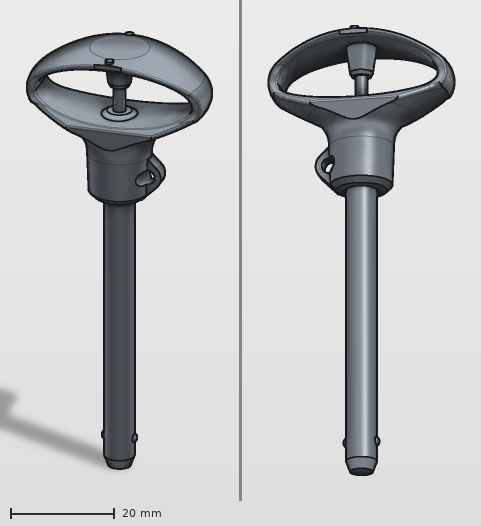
import cadquery as cq
import math


shank_radius = 3.0
shank_length = 57.0
tip_length = 2.1
tip_radius = 2.2

ball_radius = 1.0
ball_reach = 3.55
ball_above_end = 6.0
ball_height = ball_above_end - shank_length

collar_base_radius = 6.0
collar_top_radius = 6.3
collar_height = 9.0
collar_chamfer = 1.1

handle_top = 31.0
waist_lower_height = handle_top - 12.1
crown_radius = 5.8
dome_mid_radius = 12.1
dome_mid_height = handle_top - 2.6
dome_end_radius = 16.4
dome_end_height = handle_top - 5.6
rim_radius = 17.95
rim_height = handle_top - 9.1
rim_end_radius = 16.85
rim_end_height = waist_lower_height
flare_radius = 10.2
flare_height = handle_top - 15.95
flare_mid_radius = 7.15
flare_mid_height = handle_top - 18.6

window_height = handle_top - 9.5
window_half_width = 15.7
window_rise = 7.5
window_drop = 4.5
window_floor = window_height - window_drop

waist_half_width = 4.1
waist_height = handle_top - 9.2
waist_radius = 6.0
waist_lean = math.radians(31.5)
skirt_half_width = 7.35
skirt_height = handle_top - 14.65
skirt_foot_half_width = 7.0
skirt_foot_height = handle_top - 19.5
envelope_margin = 1.0

side_edge_clearance = 3.0
skirt_edge_radius = 0.6
dome_edge_radius = 0.4
window_edge_radius = 0.4
ellipse_tolerance = 0.01

notch_width = 5.4
notch_half_width = 7.7
notch_reach = 4.0

button_top_radius = 3.1
button_foot_radius = 2.25
button_foot_height = handle_top - 8.0
button_top_height = handle_top - 1.0
button_chamfer_width = 0.4
button_chamfer_height = 0.8
rod_radius = 1.2
seat_top_radius = 2.4
seat_base_radius = 3.65
seat_height = 0.75
seat_depth = 1.0

rivet_radius = 0.8
rivet_offset = 6.65
rivet_depth = 0.8

lug_x = 6.0
lug_height = 5.0
lug_radius = 2.75
lug_hole_radius = 1.5
lug_thickness = 3.0


def make_shank():
    outline = (
        cq.Workplane("XZ")
        .moveTo(0, collar_height)
        .lineTo(shank_radius, collar_height)
        .lineTo(shank_radius, tip_length - shank_length)
        .lineTo(tip_radius, -shank_length)
        .lineTo(0, -shank_length)
        .close()
    )
    shank = outline.revolve(360, (0, 0), (0, 1)).rotate((0, 0, 0), (0, 0, 1), 180)
    for side in (-1, 1):
        ball_x = side * (ball_reach - ball_radius)
        shank = shank.union(cq.Workplane("XY").sphere(ball_radius).translate((ball_x, 0, ball_height)))
    return shank


def make_turned_handle():
    return (
        cq.Workplane("XZ")
        .lineTo(collar_base_radius - collar_chamfer, 0)
        .lineTo(collar_base_radius, collar_chamfer)
        .lineTo(collar_top_radius, collar_height)
        .threePointArc((flare_mid_radius, flare_mid_height), (flare_radius, flare_height))
        .lineTo(rim_end_radius, rim_end_height)
        .threePointArc((rim_radius, rim_height), (dome_end_radius, dome_end_height))
        .threePointArc((dome_mid_radius, dome_mid_height), (crown_radius, handle_top))
        .lineTo(0, handle_top)
        .close()
        .revolve(360, (0, 0), (0, 1))
        .rotate((0, 0, 0), (0, 0, 1), 180)
    )


def waist_arc_half_width(height):
    """Half width in Y of the round waist at a given height."""
    rise = height - waist_height
    return waist_half_width + waist_radius - math.sqrt(waist_radius**2 - rise**2)


def make_side_envelope():
    """Waisted outline in YZ that bounds the handle sides, extruded along X."""
    upper_height = waist_height + waist_radius * math.sin(waist_lean)
    upper_half_width = waist_arc_half_width(upper_height)
    top_half_width = upper_half_width + (handle_top - upper_height) * math.tan(waist_lean)
    skirt = [
        (collar_top_radius + envelope_margin, 0),
        (skirt_foot_half_width, skirt_foot_height),
        (skirt_half_width, skirt_height),
        (waist_arc_half_width(waist_lower_height), waist_lower_height),
    ]
    return (
        cq.Workplane("YZ")
        .polyline(skirt)
        .threePointArc((waist_half_width, waist_height), (upper_half_width, upper_height))
        .lineTo(top_half_width, handle_top)
        .lineTo(-top_half_width, handle_top)
        .lineTo(-upper_half_width, upper_height)
        .threePointArc((-waist_half_width, waist_height), (-skirt[-1][0], waist_lower_height))
        .polyline([(-y, z) for y, z in reversed(skirt)], includeCurrent=False)
        .close()
        .extrude(rim_radius + envelope_margin, both=True)
    )


def half_elliptic_bar(height):
    """Bar along Y, bounded by the window's middle plane and a half ellipse above or below it."""
    first, last = (0, 180) if height > 0 else (180, 360)
    return (
        cq.Workplane("XZ", origin=(0, rim_radius, window_height))
        .ellipseArc(window_half_width, abs(height), first, last, startAtCurrent=False)
        .close()
        .extrude(2 * rim_radius)
    )


def make_window():
    return half_elliptic_bar(window_rise).union(half_elliptic_bar(-window_drop))


def make_button():
    return (
        cq.Workplane("XZ")
        .moveTo(0, window_floor - seat_depth)
        .lineTo(seat_base_radius, window_floor - seat_depth)
        .lineTo(seat_base_radius, window_floor)
        .lineTo(seat_top_radius, window_floor + seat_height)
        .lineTo(rod_radius, window_floor + seat_height)
        .lineTo(rod_radius, button_foot_height)
        .lineTo(button_foot_radius - button_chamfer_width, button_foot_height)
        .lineTo(button_foot_radius, button_foot_height + button_chamfer_height)
        .lineTo(button_top_radius, button_top_height)
        .lineTo(0, button_top_height)
        .close()
        .revolve(360, (0, 0), (0, 1))
    )


def make_rivets():
    return (
        cq.Workplane("XY", origin=(0, 0, handle_top - rivet_depth))
        .pushPoints([(0, rivet_offset), (0, -rivet_offset)])
        .circle(rivet_radius)
        .extrude(rivet_depth)
    )


def make_lug():
    """Lug with a round nose and 45 degree flanks that run back into the collar."""
    diagonal = lug_radius * math.sqrt(0.5)
    tangent_x = lug_x + diagonal
    root_x = lug_x + 2 * diagonal - lug_height
    return (
        cq.Workplane("XZ", origin=(0, lug_thickness / 2, 0))
        .lineTo(root_x, 0)
        .lineTo(tangent_x, lug_height - diagonal)
        .threePointArc((lug_x + lug_radius, lug_height), (tangent_x, lug_height + diagonal))
        .lineTo(root_x, 2 * lug_height)
        .lineTo(0, 2 * lug_height)
        .close()
        .extrude(lug_thickness)
    )


def make_lug_hole():
    """Hole through the lug and the edge of the collar, along Y."""
    hole = cq.Workplane("XZ").center(lug_x, lug_height).circle(lug_hole_radius)
    return hole.extrude(2 * collar_top_radius, both=True)


def side_edges(body, low, high):
    """Edges clear of the XZ plane whose centres lie between two heights."""
    chosen = []
    for edge in body.edges().vals():
        center = edge.Center()
        if low < center.z < high and abs(center.y) > side_edge_clearance:
            chosen.append(edge)
    return chosen


def is_window_rim(edge):
    """True for an edge along the mouth of the finger window."""
    for fraction in (0.2, 0.5):
        point = edge.positionAt(fraction)
        rise = point.z - window_height
        reach = window_rise if rise > 0 else window_drop
        on_ellipse = abs((point.x / window_half_width) ** 2 + (rise / reach) ** 2 - 1) < ellipse_tolerance
        if not on_ellipse or abs(point.y) < side_edge_clearance:
            return False
    return True


def make_handle():
    """Handle and collar with waisted sides, rounded edges, finger window and crown flats."""
    handle = make_turned_handle().intersect(make_side_envelope())
    skirt_low = skirt_height - skirt_edge_radius
    skirt_high = waist_lower_height + skirt_edge_radius
    skirt_edges = side_edges(handle, skirt_low, skirt_high)
    handle = handle.newObject(skirt_edges).fillet(skirt_edge_radius)
    dome_edges = side_edges(handle, dome_end_height + dome_edge_radius, handle_top)
    handle = handle.newObject(dome_edges).fillet(dome_edge_radius)

    handle = handle.cut(make_window())
    rim = [edge for edge in handle.edges().vals() if is_window_rim(edge)]
    handle = handle.newObject(rim).fillet(window_edge_radius)

    for side in (-1, 1):
        notch = cq.Workplane("XY").box(notch_width, notch_reach, notch_reach)
        notch_y = side * (notch_half_width + notch_reach / 2)
        handle = handle.cut(notch.translate((0, notch_y, handle_top)))
    return handle


body = make_handle().union(make_lug()).cut(make_lug_hole())
result = body.union(make_button()).union(make_rivets()).union(make_shank())